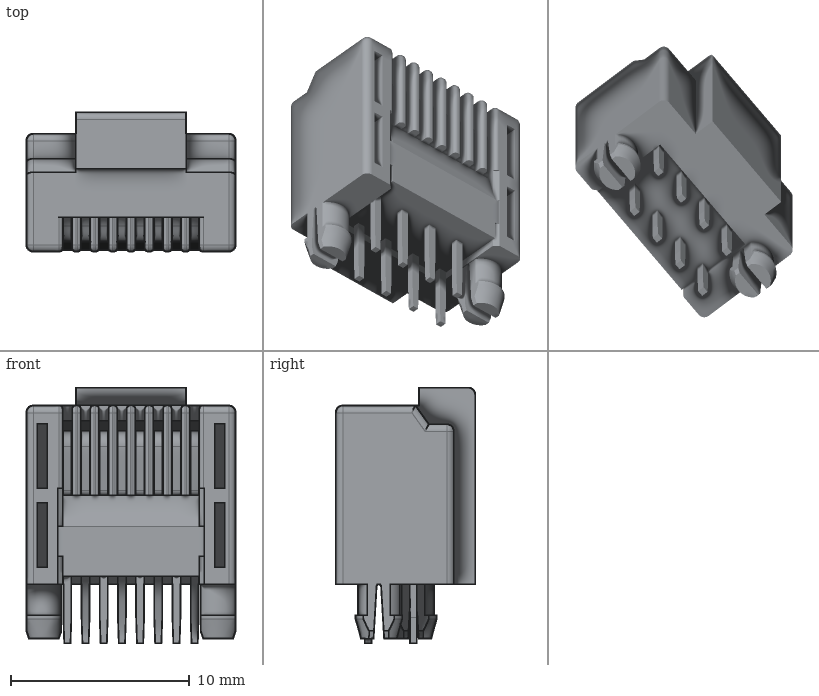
import cadquery as cq


width = 11.7
depth = 6.6
height = 10.0
edge_radius = 0.4
step_height = 8.95
step_top_y = 4.45
step_foot_y = 5.2

tab_width = 6.15
tab_front_y = 4.65
tab_back_y = 7.8
tab_height = 11.0

pitch = 1.016
contact_count = 8
slot_back_y = 1.92
slot_floor_z = 4.97
undercut_top_z = 9.14
undercut_depth = 0.55
rib_width = 0.48
rib_radius = 0.2
channel_width = pitch - rib_width
slot_half_width = (pitch * (contact_count - 1) + channel_width) / 2
selection_margin = 0.01

panel_y = 0.08
panel_top_z = 3.25
panel_bottom_z = 0.45
panel_ear_bottom_z = 1.57
ramp_top_y = 0.56
corner_cut_width = 0.28
corner_cut_depth = 0.25
corner_cut_top_z = 5.37

recess_back_y = tab_front_y

pocket_width = 0.58
pocket_height = 3.6
pocket_depth = 1.5
pocket_x = 4.96
pocket_bottoms = (0.96, 5.37)

contact_width = 0.46
contact_front_y = 0.59
contact_top_z = 8.58
contact_top_radius = 0.87
contact_bottom_radius = 0.3

pin_width = 0.46
pin_tip_width = 0.36
pin_thickness = 0.38
pin_length = 3.3
pin_taper_start = 1.83
front_row_y = 1.81
rear_row_y = 4.34

left_peg_y = rear_row_y
right_peg_y = 2.41
peg_radius = 1.17
barb_radius = 1.31
peg_tip_radius = 1.0
peg_length = 3.04
barb_top = 1.72
barb_bottom = 1.92
peg_half_thickness = 0.98
peg_x = width / 2 - peg_half_thickness
peg_tip_half_thickness = 0.835
peg_tip_chamfer_start = 2.6
peg_slot_half_top = 0.12
peg_slot_half_bottom = 0.29


def box(x_range, y_range, z_range):
    """Block spanning the given (low, high) ranges."""
    sizes = [high - low for low, high in (x_range, y_range, z_range)]
    corner = (x_range[0], y_range[0], z_range[0])
    return cq.Workplane("XY").box(*sizes, centered=False).translate(corner)


def extrude_along_x(outline, x_center, x_width):
    """Extrude a sketched (y, z) outline symmetrically about x_center."""
    return outline.extrude(x_width / 2, both=True).translate((x_center, 0, 0))


def housing():
    profile = (
        cq.Workplane("YZ")
        .moveTo(0, 0)
        .lineTo(0, height)
        .lineTo(step_top_y, height)
        .lineTo(step_foot_y, step_height)
        .lineTo(depth, step_height)
        .lineTo(depth, 0)
        .close()
    )
    block = extrude_along_x(profile, 0, width)
    sides = block.faces("<X or >X").edges("not <Z")
    front_top = block.faces("<Y").edges(">Z")
    back_top = block.faces(">Y").edges(">Z")
    return block.newObject(sides.vals() + front_top.vals() + back_top.vals()).fillet(edge_radius)


def rear_tab():
    tab = box((-tab_width / 2, tab_width / 2), (tab_front_y, tab_back_y), (0, tab_height))
    tab = tab.faces(">Z").edges(">Y").fillet(edge_radius)
    level_top = box((-tab_width / 2, tab_width / 2), (step_top_y, step_foot_y), (step_height, height))
    return tab.union(level_top)


def contact_positions():
    """Centres along X of the evenly pitched contacts."""
    first = -pitch * (contact_count - 1) / 2
    return [first + pitch * index for index in range(contact_count)]


def contact_channel(x_center):
    """Channel open at the front and top, undercut at the back, that holds one contact."""
    outline = (
        cq.Workplane("YZ")
        .moveTo(0, slot_floor_z)
        .lineTo(0, height)
        .lineTo(slot_back_y, height)
        .lineTo(slot_back_y, undercut_top_z)
        .lineTo(slot_back_y + undercut_depth, undercut_top_z - undercut_depth)
        .lineTo(slot_back_y + undercut_depth, slot_floor_z)
        .close()
    )
    return extrude_along_x(outline, x_center, channel_width)


def round_rib_edges(body):
    """Round the front and top edges along the side walls of the channels."""
    reach = channel_width
    front = cq.selectors.BoxSelector(
        (-slot_half_width - reach, -selection_margin, slot_floor_z + selection_margin),
        (slot_half_width + reach, selection_margin, height - selection_margin),
    )
    top = cq.selectors.BoxSelector(
        (-slot_half_width - reach, selection_margin, height - selection_margin),
        (slot_half_width + reach, slot_back_y - selection_margin, height + selection_margin),
    )
    front_edges = body.edges("|Z").edges(front)
    top_edges = body.edges("|Y").edges(top)
    return body.newObject(front_edges.vals() + top_edges.vals()).fillet(rib_radius)


def panel_clearance():
    """Space in front of the ramp and the panel below it."""
    outline = (
        cq.Workplane("YZ")
        .moveTo(0, 0)
        .lineTo(0, slot_floor_z)
        .lineTo(ramp_top_y, slot_floor_z)
        .lineTo(panel_y, panel_top_z)
        .lineTo(panel_y, 0)
        .close()
    )
    return extrude_along_x(outline, 0, 2 * slot_half_width)


def corner_cut(side, bottom_z, top_z):
    """Bevel along the inner front corner of one post (side is -1 or 1)."""
    inner_x = side * slot_half_width
    outer_x = side * (slot_half_width + corner_cut_width)
    outline = cq.Workplane("XY").polyline([(inner_x, 0), (outer_x, 0), (inner_x, corner_cut_depth)])
    return outline.close().extrude(top_z - bottom_z).translate((0, 0, bottom_z))


def panel_ear_clearance():
    """Space in front of the wider stretch of the panel, between the corner bevels."""
    ear_x = slot_half_width + corner_cut_width
    return box((-ear_x, ear_x), (0, panel_y), (panel_ear_bottom_z, panel_top_z))


def underside_recess():
    return box((-slot_half_width, slot_half_width), (0, recess_back_y), (0, panel_bottom_z))


def post_pocket(side, bottom_z):
    """Blind rectangular pocket in the front of one post."""
    center_x = side * pocket_x
    x_range = (center_x - pocket_width / 2, center_x + pocket_width / 2)
    return box(x_range, (0, pocket_depth), (bottom_z, bottom_z + pocket_height))


def contact(x_center):
    """Contact with a rounded nose, seated against the back of its channel."""
    x_range = (x_center - contact_width / 2, x_center + contact_width / 2)
    y_range = (contact_front_y, slot_back_y + undercut_depth)
    blade = box(x_range, y_range, (slot_floor_z, contact_top_z))
    blade = blade.faces("<Y").edges(">Z").fillet(contact_top_radius)
    return blade.faces("<Y").edges("<Z").fillet(contact_bottom_radius)


def solder_pin(x_center, y_center):
    """Flat pin from the recess ceiling, narrowed towards its tip."""
    half = pin_width / 2
    half_tip = pin_tip_width / 2
    outline = cq.Workplane("XZ").polyline(
        [
            (-half, panel_bottom_z),
            (half, panel_bottom_z),
            (half, -pin_taper_start),
            (half_tip, -pin_length),
            (-half_tip, -pin_length),
            (-half, -pin_taper_start),
        ]
    )
    pin = outline.close().extrude(pin_thickness / 2, both=True)
    return pin.translate((x_center, y_center, 0))


def snap_peg(x_center, y_center):
    """Barbed round peg with flats towards +X and -X, split by a tapered slot along X."""
    half_outline = cq.Workplane("XZ").polyline(
        [
            (0, 0),
            (peg_radius, 0),
            (peg_radius, -barb_top),
            (barb_radius, -barb_top),
            (barb_radius, -barb_bottom),
            (peg_tip_radius, -peg_length),
            (0, -peg_length),
        ]
    )
    peg = half_outline.close().revolve(360, (0, 0, 0), (0, 1, 0))
    flats = cq.Workplane("XZ").polyline(
        [
            (-peg_half_thickness, 0),
            (peg_half_thickness, 0),
            (peg_half_thickness, -peg_tip_chamfer_start),
            (peg_tip_half_thickness, -peg_length),
            (-peg_tip_half_thickness, -peg_length),
            (-peg_half_thickness, -peg_tip_chamfer_start),
        ]
    )
    peg = peg.intersect(flats.close().extrude(barb_radius, both=True))
    slot = (
        cq.Workplane("YZ")
        .moveTo(-peg_slot_half_bottom, -peg_length)
        .lineTo(-peg_slot_half_top, -peg_slot_half_top)
        .threePointArc((0, 0), (peg_slot_half_top, -peg_slot_half_top))
        .lineTo(peg_slot_half_bottom, -peg_length)
        .close()
    )
    peg = peg.cut(extrude_along_x(slot, 0, 2 * barb_radius))
    return peg.translate((x_center, y_center, 0))


def jack():
    body = housing()
    for x_center in contact_positions():
        body = body.cut(contact_channel(x_center))
    body = round_rib_edges(body)
    body = body.cut(panel_clearance())
    body = body.cut(panel_ear_clearance())
    body = body.cut(underside_recess())
    for side in (-1, 1):
        body = body.cut(corner_cut(side, 0, panel_ear_bottom_z))
        body = body.cut(corner_cut(side, panel_top_z, corner_cut_top_z))
        for bottom_z in pocket_bottoms:
            body = body.cut(post_pocket(side, bottom_z))
    body = body.union(rear_tab())
    for index, x_center in enumerate(contact_positions()):
        row_y = front_row_y if index % 2 == 0 else rear_row_y
        body = body.union(contact(x_center))
        body = body.union(solder_pin(x_center, row_y))
    body = body.union(snap_peg(-peg_x, left_peg_y))
    return body.union(snap_peg(peg_x, right_peg_y))


result = jack()